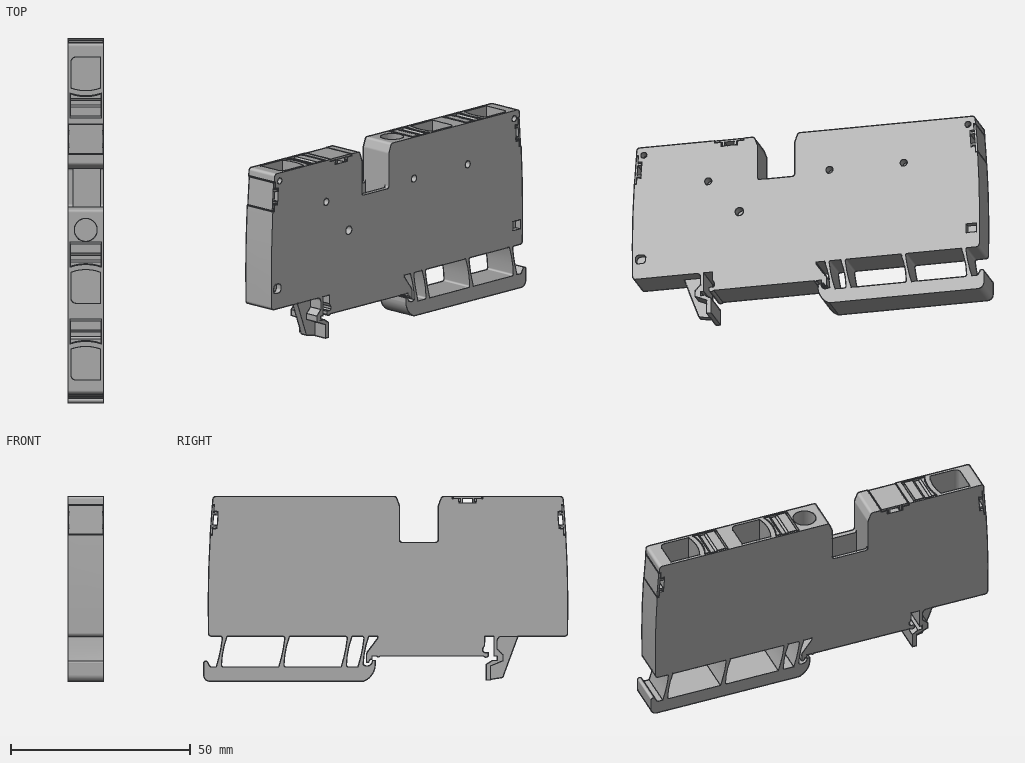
import cadquery as cq
import math


WIDTH = 10.0
HEIGHT = 51.5
BLOCK_BOTTOM = 12.5
BLOCK_HALF_LENGTH = 50.1
END_RADIUS = 340.0
END_BULGE_HEIGHT = 21.0
CORNER_RADIUS = 0.9

NOTCH_CENTRE = 8.6
NOTCH_WIDTH = 10.7
NOTCH_FLOOR = 38.7
NOTCH_FLOOR_RADIUS = 0.7
NOTCH_SHOULDER_RADIUS = 1.2
LEAD_IN_HEIGHT = 2.7
LEAD_IN_WIDTH = 1.0
NOTCH_RIM_RADIUS = 0.9
NOTCH_POCKET_X = (-3.55, 4.15)
SHAFT_DEPTH = 12.0

CONTACT_CENTRE = 28.2
CONTACT_PITCH = 21.4
ENTRY_HALF_WIDTH = 4.15
ENTRY_INNER = 8.15
ENTRY_OUTER = 16.8
ENTRY_ROUND_CORNER = 1.5
ARC_SAGITTA = 0.75
LEVER_POCKET_INNER = -0.25
LEVER_POCKET_OUTER = 6.75
LEVER_POCKET_HALF_WIDTH = 4.45
LEVER_CLEARANCE = 0.25
LEVER_END_GAP = 0.6
LEVER_DEPTH = 10.0
LEVER_SLOT_INNER = 2.85
LEVER_SLOT_OUTER = 5.3
LEVER_SLOT_SLOPE = 0.6
LEVER_SLOT_DEPTH = 0.45

TEST_HOLE_Y = -3.15
TEST_HOLE_DIAMETER = 6.4

MARKER_SEAT_LENGTH = 8.5
MARKER_LENGTH = 8.0
MARKER_WIDTH = 9.5
MARKER_THICKNESS = 0.6
MARKER_POCKET_LENGTH = 4.8
MARKER_POCKET_DEPTH = 1.2
MARKER_LEG_SPAN = 4.0
MARKER_LEG_THICKNESS = 0.6
MARKER_BARB_HEIGHT = 0.35
TOP_MARKER_Y = 22.15
END_MARKER_Z = 45.0

ROUND_HOLE_DEPTH = 3.0
PROBE_HOLE_DIAMETER = 2.0
PROBE_HOLE_Z = 39.6
CENTRE_HOLE_DIAMETER = 2.4
CENTRE_HOLE_YZ = (19.2, 29.7)
CORNER_HOLE_DIAMETER = 1.7
CORNER_HOLE_YZ = (46.75, 49.2)
SQUARE_SIZE = (2.9, 2.6)
SQUARE_YZ = (47.7, 18.3)
SQUARE_CORNER_RADIUS = 1.0
SQUARE_DEPTH = 1.8

RAIL_FACE = 7.0
RAIL_BLOCK_Y = (-2.9, 27.0)
FOOT_TOP = 4.0
FOOT_TIP_Y = -51.35
FOOT_HEEL_Y = -3.55
FOOT_HEEL_TOP = 5.8
RIB_PITCH = 17.4
FIRST_RIB_Y = -5.35
SECOND_RIB_Y = -10.0
RIB_COUNT_ON_PITCH = 3
RIB_LEAN = 1.55
RIB_TOP_THICKNESS = 1.3
RIB_FOOT_THICKNESS = 1.5
RIB_CORNER_RADIUS = 0.5
CLIP_WEB_THICKNESS = 2.0
CATCH_TIP_Y = 27.95
CATCH_TOP = 8.0
HOOK_INNER_Y = -4.45
HOOK_OUTER_Y = -6.0
HOOK_TIP = 5.3
STRAP_INNER_Y = 29.5
STRAP_OUTER_Y = 30.4
STRAP_JAW_Y = 27.3
STRAP_JAW_BACK_Y = 28.6
STRAP_GROOVE_BOTTOM = 5.8
STRAP_TIP = 0.35
STRAP_ROOT_RADIUS = 1.2
STRAP_BACK = [(STRAP_OUTER_Y, 9.0), (31.95, 7.4), (31.95, 5.7), (STRAP_JAW_BACK_Y, 4.3)]


def end_face(z):
    """Distance of the barrelled end face from the middle of the block."""
    drop = END_RADIUS - math.sqrt(END_RADIUS**2 - (z - END_BULGE_HEIGHT) ** 2)
    return BLOCK_HALF_LENGTH - drop


def across(profile, width=WIDTH):
    """Extrude a closed YZ profile symmetrically across the width."""
    return profile.extrude(width / 2, both=True)


def side_profile(y, z):
    return cq.Workplane("YZ").moveTo(y, z)


def round_edge(body, y, z, radius):
    """Fillet the one edge that runs across the width at (y, z)."""
    reach = 0.05
    around = cq.selectors.BoxSelector((-WIDTH, y - reach, z - reach), (WIDTH, y + reach, z + reach))
    return body.edges("|X").edges(around).fillet(radius)


def block():
    top = end_face(HEIGHT)
    bottom = end_face(BLOCK_BOTTOM)
    profile = (
        side_profile(-bottom, BLOCK_BOTTOM)
        .lineTo(bottom, BLOCK_BOTTOM)
        .threePointArc((BLOCK_HALF_LENGTH, END_BULGE_HEIGHT), (top, HEIGHT))
        .lineTo(-top, HEIGHT)
        .threePointArc((-BLOCK_HALF_LENGTH, END_BULGE_HEIGHT), (-bottom, BLOCK_BOTTOM))
        .close()
    )
    return across(profile).edges("|X").fillet(CORNER_RADIUS)


def cut_notch(body):
    half = NOTCH_WIDTH / 2
    shoulder = HEIGHT - LEAD_IN_HEIGHT
    cutter = (
        cq.Workplane("YZ", origin=(0, NOTCH_CENTRE, 0))
        .moveTo(-half, NOTCH_FLOOR)
        .lineTo(half, NOTCH_FLOOR)
        .lineTo(half, shoulder)
        .lineTo(half + LEAD_IN_WIDTH, HEIGHT)
        .lineTo(-half - LEAD_IN_WIDTH, HEIGHT)
        .lineTo(-half, shoulder)
        .close()
    )
    body = body.cut(across(cutter).edges("|X and <Z").fillet(NOTCH_FLOOR_RADIUS))
    for side in (-1, 1):
        body = round_edge(body, NOTCH_CENTRE + side * half, shoulder, NOTCH_SHOULDER_RADIUS)
        body = round_edge(body, NOTCH_CENTRE + side * (half + LEAD_IN_WIDTH), HEIGHT, NOTCH_RIM_RADIUS)
    x_low, x_high = NOTCH_POCKET_X
    above_floor = NOTCH_FLOOR_RADIUS
    pocket = (
        cq.Workplane("XY", origin=((x_low + x_high) / 2, NOTCH_CENTRE, NOTCH_FLOOR + above_floor))
        .rect(x_high - x_low, NOTCH_WIDTH)
        .extrude(-SHAFT_DEPTH - above_floor)
    )
    return body.cut(pocket)


def rail_block():
    """Middle part that rests on the rail, with the catch at +Y and the hook at -Y."""
    y_low, y_high = RAIL_BLOCK_Y
    profile = (
        side_profile(y_high, BLOCK_BOTTOM + 1)
        .lineTo(y_high, BLOCK_BOTTOM)
        .lineTo(26.9, 10.0)
        .lineTo(26.4, 9.1)
        .lineTo(26.4, 8.4)
        .lineTo(26.9, CATCH_TOP)
        .lineTo(CATCH_TIP_Y, CATCH_TOP)
        .lineTo(CATCH_TIP_Y, 7.1)
        .threePointArc((27.4, 6.7), (26.6, RAIL_FACE))
        .lineTo(-2.3, RAIL_FACE)
        .threePointArc((-2.7, 6.75), (-3.1, RAIL_FACE))
        .lineTo(HOOK_INNER_Y, RAIL_FACE)
        .lineTo(HOOK_INNER_Y, 6.1)
        .lineTo(-5.0, 6.1)
        .lineTo(-5.4, HOOK_TIP)
        .lineTo(HOOK_OUTER_Y, HOOK_TIP)
        .lineTo(HOOK_OUTER_Y, 7.2)
        .threePointArc((-5.9, 7.9), (-5.6, 8.4))
        .lineTo(y_low, 12.0)
        .lineTo(y_low, BLOCK_BOTTOM + 1)
        .close()
    )
    return across(profile)


def clip_strap():
    """Springy strap that grips the rail edge at the +Y side."""
    root_z = BLOCK_BOTTOM - STRAP_ROOT_RADIUS
    root_y = STRAP_OUTER_Y + STRAP_ROOT_RADIUS
    arc_inset = STRAP_ROOT_RADIUS * (1 - math.sqrt(0.5))
    profile = (
        side_profile(STRAP_INNER_Y, BLOCK_BOTTOM)
        .lineTo(root_y, BLOCK_BOTTOM)
        .threePointArc((STRAP_OUTER_Y + arc_inset, BLOCK_BOTTOM - arc_inset), (STRAP_OUTER_Y, root_z))
        .polyline(STRAP_BACK, includeCurrent=True)
        .lineTo(STRAP_JAW_BACK_Y, STRAP_TIP)
        .lineTo(STRAP_JAW_Y, STRAP_TIP)
        .lineTo(STRAP_JAW_Y, 4.7)
        .lineTo(29.0, STRAP_GROOVE_BOTTOM)
        .lineTo(STRAP_OUTER_Y, STRAP_GROOVE_BOTTOM)
        .lineTo(STRAP_OUTER_Y, RAIL_FACE)
        .lineTo(STRAP_INNER_Y, RAIL_FACE)
        .close()
    )
    return across(profile)


def clip_web():
    """Thin web that stiffens the strap in the middle of the width."""
    profile = (
        side_profile(36.2, BLOCK_BOTTOM)
        .lineTo(32.2, 1.7)
        .threePointArc((31.9, 1.1), (31.4, 0.95))
        .lineTo(STRAP_JAW_BACK_Y, 0.5)
        .polyline(STRAP_BACK[::-1], includeCurrent=True)
        .lineTo(STRAP_OUTER_Y, BLOCK_BOTTOM)
        .close()
    )
    return across(profile, CLIP_WEB_THICKNESS)


def foot():
    """Long bar below the block, with an upturned lip at each end."""
    profile = (
        side_profile(-6.8, 0)
        .threePointArc((-4.6, 1.65), (FOOT_HEEL_Y, 4.4))
        .lineTo(FOOT_HEEL_Y, FOOT_HEEL_TOP)
        .lineTo(-4.3, FOOT_HEEL_TOP)
        .lineTo(-4.5, 5.1)
        .threePointArc((-5.7, 4.3), (-6.9, 4.7))
        .lineTo(-8.0, FOOT_TOP)
        .lineTo(-49.0, FOOT_TOP)
        .threePointArc((-49.45, 4.1), (-49.75, 4.45))
        .lineTo(-50.15, 5.15)
        .threePointArc((-50.9, 5.6), (FOOT_TIP_Y, 4.9))
        .lineTo(FOOT_TIP_Y, 1.75)
        .threePointArc((-50.85, 0.5), (-49.6, 0))
        .close()
    )
    return across(profile)


def rib(y):
    """Slender curved rib joining the foot to the block; y is its upper +Y edge."""
    profile = (
        side_profile(y, BLOCK_BOTTOM)
        .threePointArc((y - 1.12, 8.5), (y - RIB_LEAN, FOOT_TOP))
        .lineTo(y - RIB_LEAN - RIB_FOOT_THICKNESS, FOOT_TOP)
        .threePointArc((y - 1.9, 8.5), (y - RIB_TOP_THICKNESS, BLOCK_BOTTOM))
        .close()
    )
    return across(profile)


def rail_side(body):
    pitched_ribs = [SECOND_RIB_Y - i * RIB_PITCH for i in range(RIB_COUNT_ON_PITCH)]
    all_ribs = [FIRST_RIB_Y] + pitched_ribs
    for part in [rail_block(), clip_strap(), clip_web(), foot()] + [rib(y) for y in all_ribs]:
        body = body.union(part)
    for y in all_ribs:
        body = round_edge(body, y - RIB_TOP_THICKNESS, BLOCK_BOTTOM, RIB_CORNER_RADIUS)
    for y in pitched_ribs:
        body = round_edge(body, y - RIB_LEAN, FOOT_TOP, RIB_CORNER_RADIUS)
    return body


def cut_side_marks(body):
    def sink(places, diameter):
        return (
            cq.Workplane("YZ", origin=(-WIDTH / 2, 0, 0))
            .pushPoints(places)
            .circle(diameter / 2)
            .extrude(ROUND_HOLE_DEPTH)
        )

    probe_places = [CONTACT_CENTRE, -CONTACT_CENTRE, CONTACT_PITCH - CONTACT_CENTRE]
    corner_y, corner_z = CORNER_HOLE_YZ
    body = body.cut(sink([(y, PROBE_HOLE_Z) for y in probe_places], PROBE_HOLE_DIAMETER))
    body = body.cut(sink([CENTRE_HOLE_YZ], CENTRE_HOLE_DIAMETER))
    body = body.cut(sink([(corner_y, corner_z), (-corner_y, corner_z)], CORNER_HOLE_DIAMETER))

    square_y, square_z = SQUARE_YZ
    square = cq.Workplane("YZ", origin=(-WIDTH / 2, 0, square_z)).rect(*SQUARE_SIZE).extrude(SQUARE_DEPTH)
    body = body.cut(square.translate((0, -square_y, 0)))
    return body.cut(square.edges("|X").fillet(SQUARE_CORNER_RADIUS).translate((0, square_y, 0)))


def from_top(profile, depth):
    return profile.extrude(-depth)


def top_profile():
    return cq.Workplane("XY", origin=(0, 0, HEIGHT))


def entry_shaft():
    w = ENTRY_HALF_WIDTH
    profile = (
        top_profile()
        .moveTo(w, ENTRY_OUTER)
        .lineTo(w, ENTRY_INNER)
        .threePointArc((0, ENTRY_INNER - ARC_SAGITTA), (-w, ENTRY_INNER))
        .lineTo(-w, ENTRY_OUTER)
        .close()
    )
    return from_top(profile, SHAFT_DEPTH).edges("|Z and <X and >Y").fillet(ENTRY_ROUND_CORNER)


def lever_block(half_width, start, end, depth):
    profile = (
        top_profile()
        .moveTo(half_width, start)
        .lineTo(half_width, end)
        .threePointArc((0, end - ARC_SAGITTA), (-half_width, end))
        .lineTo(-half_width, start)
        .close()
    )
    return from_top(profile, depth)


def lever_pocket():
    return lever_block(LEVER_POCKET_HALF_WIDTH, LEVER_POCKET_INNER, LEVER_POCKET_OUTER, LEVER_DEPTH)


def lever():
    """Release lever with a screwdriver slot across its top."""
    body = lever_block(
        LEVER_POCKET_HALF_WIDTH - LEVER_CLEARANCE,
        LEVER_POCKET_INNER + LEVER_END_GAP,
        LEVER_POCKET_OUTER - LEVER_CLEARANCE,
        LEVER_DEPTH,
    )
    slot = (
        side_profile(LEVER_SLOT_INNER, HEIGHT)
        .lineTo(LEVER_SLOT_INNER + LEVER_SLOT_SLOPE, HEIGHT - LEVER_SLOT_DEPTH)
        .lineTo(LEVER_SLOT_OUTER - LEVER_SLOT_SLOPE, HEIGHT - LEVER_SLOT_DEPTH)
        .lineTo(LEVER_SLOT_OUTER, HEIGHT)
        .close()
    )
    return body.cut(across(slot))


def at_contacts(shape):
    """The three copies of a contact shape: one facing +Y, two facing -Y."""
    facing_plus_y = shape.translate((0, CONTACT_CENTRE, 0))
    mirrored = facing_plus_y.mirror("XZ")
    return [facing_plus_y, mirrored, mirrored.translate((0, CONTACT_PITCH, 0))]


def marker_seat():
    outside = 1.0
    plate_recess = cq.Workplane("XY").box(
        WIDTH, MARKER_SEAT_LENGTH, MARKER_THICKNESS + outside, centered=(True, True, False)
    ).translate((0, 0, -MARKER_THICKNESS))
    pocket = cq.Workplane("XY").box(
        WIDTH, MARKER_POCKET_LENGTH, MARKER_THICKNESS + MARKER_POCKET_DEPTH, centered=(True, True, False)
    ).translate((0, 0, -MARKER_THICKNESS - MARKER_POCKET_DEPTH))
    return plate_recess.union(pocket)


def marker():
    """Snap-in tag: a plate on two barbed legs that stand on the pocket floor."""
    leg_centre = (MARKER_LEG_SPAN - MARKER_LEG_THICKNESS) / 2
    leg_height = MARKER_THICKNESS + MARKER_POCKET_DEPTH
    plate = cq.Workplane("XY").rect(MARKER_WIDTH, MARKER_LENGTH).extrude(-MARKER_THICKNESS)
    legs = (
        cq.Workplane("XY")
        .pushPoints([(0, leg_centre), (0, -leg_centre)])
        .rect(MARKER_WIDTH, MARKER_LEG_THICKNESS)
        .extrude(-leg_height)
    )
    barb_length = (MARKER_POCKET_LENGTH - MARKER_LEG_SPAN) / 2 + MARKER_LEG_THICKNESS
    barb_centre = (MARKER_POCKET_LENGTH - barb_length) / 2
    barbs = (
        cq.Workplane("XY", origin=(0, 0, -leg_height))
        .pushPoints([(0, barb_centre), (0, -barb_centre)])
        .rect(MARKER_WIDTH, barb_length)
        .extrude(MARKER_BARB_HEIGHT)
    )
    return plate.union(legs).union(barbs)


def at_markers(shape):
    """The three copies of a marker shape: on top and on each end face."""
    on_top = shape.translate((0, TOP_MARKER_Y, HEIGHT))
    lean = math.degrees(math.asin((END_MARKER_Z - END_BULGE_HEIGHT) / END_RADIUS))
    at_front = (
        shape.rotate((0, 0, 0), (1, 0, 0), 90 - lean)
        .translate((0, -end_face(END_MARKER_Z), END_MARKER_Z))
    )
    return [on_top, at_front, at_front.mirror("XZ")]


housing = rail_side(cut_notch(block()))
housing = cut_side_marks(housing)
housing = housing.cut(
    from_top(top_profile().center(0, TEST_HOLE_Y).circle(TEST_HOLE_DIAMETER / 2), SHAFT_DEPTH)
)
for cutter in at_contacts(entry_shaft()) + at_contacts(lever_pocket()) + at_markers(marker_seat()):
    housing = housing.cut(cutter)

levers = at_contacts(lever())
markers = at_markers(marker())

result = cq.Compound.makeCompound(
    [housing.val()] + [piece.val() for piece in levers] + [piece.val() for piece in markers]
)